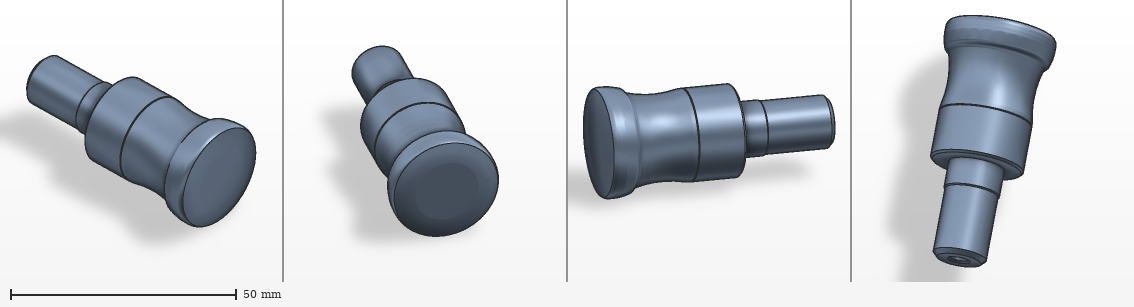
import cadquery as cq
import math

total_length = 54.0
head_radius = 24.9 / 2

shaft_radius = 6.0
shaft_chamfer = 1.0
collar_radius = 6.25
collar_start = 15.65
collar_chamfer = collar_radius - shaft_radius

body_radius = 10.5
body_start = 22.0
body_chamfer = 0.5

groove_center = 33.0
groove_width = 0.2
groove_depth = 0.1

waist_start = 34.25
waist_start_radius = 10.35
waist_middle = 40.25
waist_radius = 9.8
waist_end = 46.2
waist_end_radius = 10.7

step_position = 47.0
step_radius = 11.3
flank_start = 47.7
flank_start_radius = 11.9
flank_end = 50.1
flank_end_drop = 0.05
rim_start = 51.1
rim_end = 52.1
rim_corner = 53.2
rim_corner_radius = 12.05
end_face_radius = 7.3

hole_radius = 2.05
countersink_radius = 2.55
hole_depth = 12.0
drill_point_angle = 118.0


def revolve_about_x(profile):
    return profile.close().revolve(360, (0, 0, 0), (1, 0, 0))


def make_outer_body():
    profile = (
        cq.Workplane("XY")
        .moveTo(0, 0)
        .lineTo(0, shaft_radius - shaft_chamfer)
        .lineTo(shaft_chamfer, shaft_radius)
        .lineTo(collar_start, shaft_radius)
        .lineTo(collar_start + collar_chamfer, collar_radius)
        .lineTo(body_start, collar_radius)
        .lineTo(body_start, body_radius - body_chamfer)
        .lineTo(body_start + body_chamfer, body_radius)
        .lineTo(groove_center, body_radius)
        .tangentArcPoint((waist_start, waist_start_radius), relative=False)
        .threePointArc((waist_middle, waist_radius), (waist_end, waist_end_radius))
        .tangentArcPoint((step_position, step_radius), relative=False)
        .tangentArcPoint((flank_start, flank_start_radius), relative=False)
        .tangentArcPoint((flank_end, head_radius - flank_end_drop), relative=False)
        .tangentArcPoint((rim_start, head_radius), relative=False)
        .lineTo(rim_end, head_radius)
        .tangentArcPoint((rim_corner, rim_corner_radius), relative=False)
    )
    crown_drop = total_length - rim_corner
    crown_width = rim_corner_radius - end_face_radius
    crown_radius = (crown_drop**2 + crown_width**2) / (2 * crown_drop)
    half_angle = math.asin(crown_width / crown_radius) / 2
    crown_middle = (
        total_length - crown_radius * (1 - math.cos(half_angle)),
        end_face_radius + crown_radius * math.sin(half_angle),
    )
    profile = profile.threePointArc(crown_middle, (total_length, end_face_radius))
    return revolve_about_x(profile.lineTo(total_length, 0))


def make_groove():
    profile = (
        cq.Workplane("XY")
        .moveTo(groove_center - groove_width / 2, body_radius - groove_depth)
        .lineTo(groove_center + groove_width / 2, body_radius - groove_depth)
        .lineTo(groove_center + groove_width / 2, body_radius + groove_depth)
        .lineTo(groove_center - groove_width / 2, body_radius + groove_depth)
    )
    return revolve_about_x(profile)


def make_hole():
    point_length = hole_radius / math.tan(math.radians(drill_point_angle / 2))
    profile = (
        cq.Workplane("XY")
        .moveTo(0, 0)
        .lineTo(0, countersink_radius)
        .lineTo(countersink_radius - hole_radius, hole_radius)
        .lineTo(hole_depth, hole_radius)
        .lineTo(hole_depth + point_length, 0)
    )
    return revolve_about_x(profile)


result = make_outer_body().cut(make_groove()).cut(make_hole())